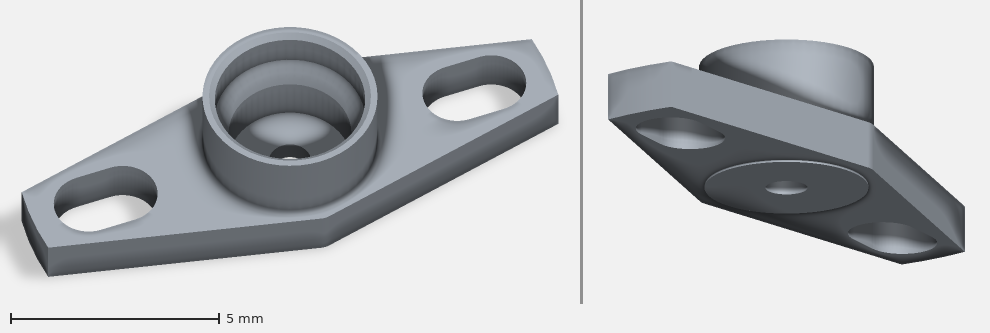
import cadquery as cq
import math

length = 13.19
end_width = 1.8
side_corner_x = 2.41
side_corner_radius = 0.44
plate_bottom = 0.05
plate_top = 1.2

total_height = 3.05
cup_diameter = 4.2
cup_base_fillet = 0.12
pad_diameter = 3.93

rim_diameter = 3.88
upper_bore_diameter = 3.6
lower_bore_diameter = 2.94
through_hole_diameter = 1.02
rim_chamfer_depth = 0.12
upper_bore_depth = 0.9
shoulder_depth = 1.44
shoulder_bulge = 0.04
floor_thickness = 0.5

slot_width = 1.68
slot_length = 2.55
slot_center_y = 4.72


def make_plate():
    end_radius = length / 2
    end_x = end_width / 2
    end_y = math.sqrt(end_radius**2 - end_x**2)
    plate = (
        cq.Workplane("XY", origin=(0, 0, plate_bottom))
        .moveTo(side_corner_x, 0)
        .lineTo(end_x, end_y)
        .threePointArc((0, end_radius), (-end_x, end_y))
        .lineTo(-side_corner_x, 0)
        .lineTo(-end_x, -end_y)
        .threePointArc((0, -end_radius), (end_x, -end_y))
        .close()
        .extrude(plate_top - plate_bottom)
    )
    return plate.edges("|Z and (>X or <X)").fillet(side_corner_radius)


def make_cup_body():
    """Revolve the pad, the cup wall and the concave fillet at the cup's foot."""
    cup_radius = cup_diameter / 2
    pad_radius = pad_diameter / 2
    foot_radius = cup_radius + cup_base_fillet
    fillet_mid_offset = cup_base_fillet * (1 - math.sqrt(0.5))
    return (
        cq.Workplane("XZ")
        .lineTo(pad_radius, 0)
        .lineTo(pad_radius, plate_top)
        .lineTo(foot_radius, plate_top)
        .threePointArc(
            (cup_radius + fillet_mid_offset, plate_top + fillet_mid_offset),
            (cup_radius, plate_top + cup_base_fillet),
        )
        .lineTo(cup_radius, total_height)
        .lineTo(0, total_height)
        .close()
        .revolve(360, (0, 0, 0), (0, 1, 0))
    )


def make_bore():
    """Revolve the bore: chamfered rim, wide bore, curved shoulder, narrow bore and hole."""
    upper_radius = upper_bore_diameter / 2
    lower_radius = lower_bore_diameter / 2
    hole_radius = through_hole_diameter / 2
    shoulder_top = total_height - upper_bore_depth
    shoulder_bottom = total_height - shoulder_depth

    shoulder_step = upper_radius - lower_radius
    shoulder_drop = shoulder_top - shoulder_bottom
    shoulder_slant = math.hypot(shoulder_step, shoulder_drop)
    shoulder_mid = (
        (upper_radius + lower_radius) / 2 - shoulder_bulge * shoulder_drop / shoulder_slant,
        (shoulder_top + shoulder_bottom) / 2 + shoulder_bulge * shoulder_step / shoulder_slant,
    )
    return (
        cq.Workplane("XZ")
        .lineTo(hole_radius, 0)
        .lineTo(hole_radius, floor_thickness)
        .lineTo(lower_radius, floor_thickness)
        .lineTo(lower_radius, shoulder_bottom)
        .threePointArc(shoulder_mid, (upper_radius, shoulder_top))
        .lineTo(upper_radius, total_height - rim_chamfer_depth)
        .lineTo(rim_diameter / 2, total_height)
        .lineTo(0, total_height)
        .close()
        .revolve(360, (0, 0, 0), (0, 1, 0))
    )


def make_slots():
    return (
        cq.Workplane("XY")
        .pushPoints([(0, slot_center_y), (0, -slot_center_y)])
        .slot2D(slot_length, slot_width, 90)
        .extrude(total_height)
    )


result = make_plate().union(make_cup_body()).cut(make_bore()).cut(make_slots())